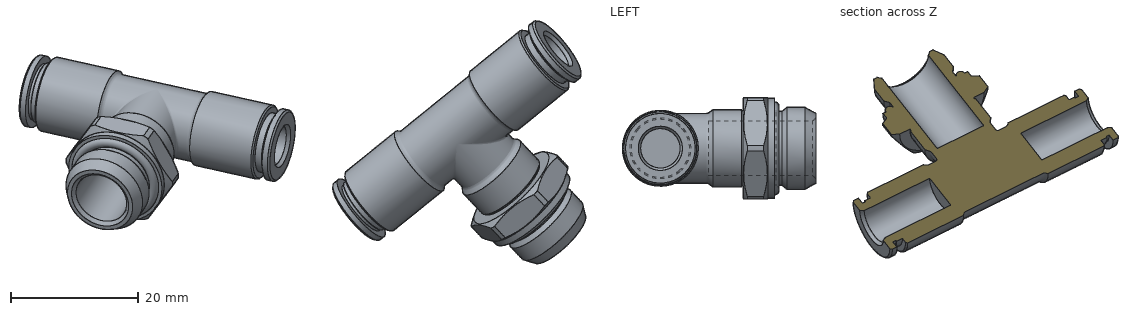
import cadquery as cq
import math

tube_radius = 5.5
crotch_fillet = 0.35
tube_length = 6.35

run_length = 42.4
run_end = run_length / 2
socket_radius = 6.0
socket_cone_start = 7.35
socket_cone_end = 7.85
socket_cone_fillet = 0.5
socket_end = 18.45
socket_edge = 0.25

neck_radius = 4.8
neck_end = 19.5
groove_radius = 4.6
flange_radius = 5.75
flange_width = 1.2
flange_edge = 0.3

run_bore_radius = 3.1
run_bore_mouth_radius = 3.48
run_bore_mouth_depth = 0.6
run_bore_depth = 12.72

branch_length = 24.5
swivel_radius = 6.1
swivel_cone_start = 7.5
swivel_cone_end = 8.25
swivel_cone_fillet = 0.6
swivel_end = 12.75
hex_neck_radius = 5.95
hex_start = 13.0
hex_end = 16.92
seat_radius = 7.9
seat_end = 18.0

undercut_radius = 5.85
undercut_end = 19.15
thread_radius = 6.5
thread_start = 19.95
thread_chamfer_start = 22.75
thread_tip_radius = 5.5
ring_outer_radius = 7.35
ring_station = 17.95
branch_bore_radius = 4.3
branch_bore_mouth_radius = 4.85
branch_bore_depth = 16.95

hex_across_flats = 16.0
hex_turned_radius = 9.0
hex_chamfer_radius = 7.85
hex_chamfer_angle = 30.0


def revolve_run(points):
    """Turn a (station, radius) outline, closed along the axis, about +X."""
    profile = [(points[0][0], 0)] + points + [(points[-1][0], 0)]
    return cq.Workplane("XY").polyline(profile).close().revolve(360, (0, 0, 0), (1, 0, 0))


def revolve_branch(points):
    """Turn a (station, radius) outline, closed along the axis, about -Y."""
    outline = [(points[0][0], 0)] + points + [(points[-1][0], 0)]
    profile = [(radius, -station) for station, radius in outline]
    return cq.Workplane("XY").polyline(profile).close().revolve(360, (0, 0, 0), (0, 1, 0))


def fillet_circle(solid, center, radius):
    """Round the circular edge whose center is the given point."""
    return solid.edges(cq.NearestToPointSelector(center)).fillet(radius)


def make_tee():
    run = cq.Workplane("YZ").circle(tube_radius).extrude(tube_length, both=True)
    branch = cq.Workplane("XZ").circle(tube_radius).extrude(tube_length)
    return run.union(branch).edges("%ELLIPSE").fillet(crotch_fillet)


def make_socket():
    """Socket and release collar at the +X end, from the end of the tube outward."""
    socket = revolve_run([
        (tube_length, tube_radius),
        (socket_cone_start, tube_radius),
        (socket_cone_end, socket_radius),
        (socket_end - socket_edge, socket_radius),
        (socket_end, socket_radius - socket_edge),
    ])
    socket = fillet_circle(socket, (socket_cone_start, 0, 0), socket_cone_fillet)
    collar = revolve_run([
        (socket_cone_end, neck_radius),
        (neck_end, neck_radius),
        (neck_end, groove_radius),
        (run_end - flange_width, groove_radius),
        (run_end - flange_width, flange_radius),
        (run_end - flange_edge, flange_radius),
        (run_end, flange_radius - flange_edge),
    ])
    return socket.union(collar)


def make_run_bore():
    return revolve_run([
        (run_end - run_bore_depth, run_bore_radius),
        (run_end - run_bore_mouth_depth, run_bore_radius),
        (run_end, run_bore_mouth_radius),
    ])


def make_swivel():
    swivel = revolve_branch([
        (tube_length, tube_radius),
        (swivel_cone_start, tube_radius),
        (swivel_cone_end, swivel_radius),
        (swivel_end, swivel_radius),
        (swivel_end, hex_neck_radius),
        (hex_start, hex_neck_radius),
    ])
    return fillet_circle(swivel, (0, -swivel_cone_start, 0), swivel_cone_fillet)


def make_hex():
    chamfer_height = (hex_turned_radius - hex_chamfer_radius) * math.tan(math.radians(hex_chamfer_angle))
    across_corners = hex_across_flats / math.cos(math.pi / 6)
    prism = (
        cq.Workplane("XZ", origin=(0, -hex_start, 0))
        .polygon(6, across_corners)
        .extrude(hex_end - hex_start)
    )
    turned = revolve_branch([
        (hex_start, hex_chamfer_radius),
        (hex_start + chamfer_height, hex_turned_radius),
        (hex_end - chamfer_height, hex_turned_radius),
        (hex_end, hex_chamfer_radius),
    ])
    return prism.intersect(turned)


def make_threaded_end():
    """Seat, undercut and thread, turned in one piece."""
    return revolve_branch([
        (hex_end, seat_radius),
        (seat_end, seat_radius),
        (seat_end, undercut_radius),
        (undercut_end, undercut_radius),
        (thread_start, thread_radius),
        (thread_chamfer_start, thread_radius),
        (branch_length, thread_tip_radius),
    ])


def make_ring():
    """O-ring, sunk a little into the undercut so that the two join."""
    sink = 0.05
    section_radius = (ring_outer_radius - undercut_radius + sink) / 2
    section_center = ring_outer_radius - section_radius
    return (
        cq.Workplane("XY")
        .center(section_center, -ring_station)
        .circle(section_radius)
        .revolve(360, (-section_center, 0, 0), (-section_center, 1, 0))
    )


def make_branch_bore():
    mouth_depth = branch_bore_mouth_radius - branch_bore_radius
    return revolve_branch([
        (branch_length - branch_bore_depth, branch_bore_radius),
        (branch_length - mouth_depth, branch_bore_radius),
        (branch_length, branch_bore_mouth_radius),
    ])


socket = make_socket()
run_bore = make_run_bore()

result = make_tee().union(socket).union(socket.mirror("YZ"))
for branch_piece in (make_swivel(), make_hex(), make_threaded_end(), make_ring()):
    result = result.union(branch_piece)
for bore in (run_bore, run_bore.mirror("YZ"), make_branch_bore()):
    result = result.cut(bore)